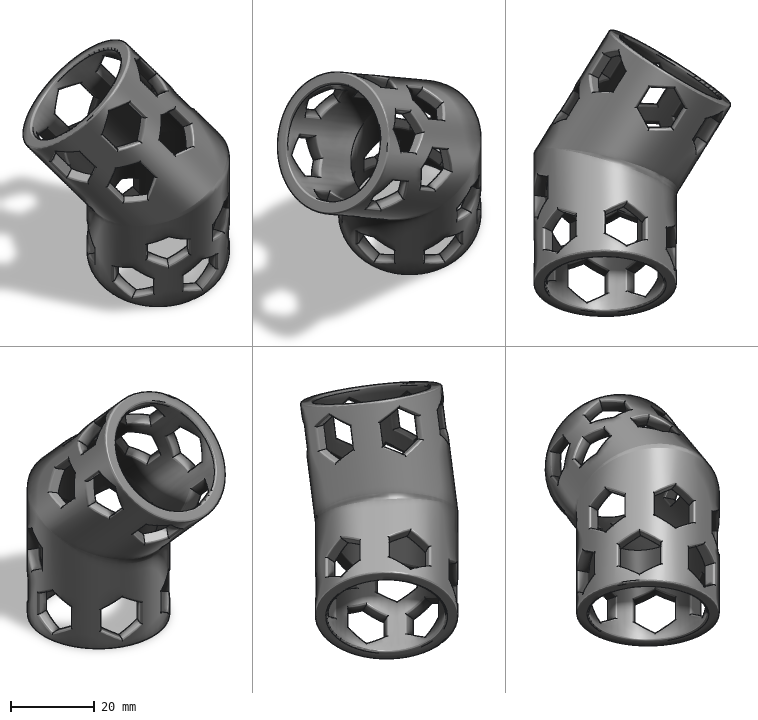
import cadquery as cq
import math

outer_diameter = 34.2
bore_diameter = 28.2
overall_height = 63.1
bend_angle = 45.0
end_round = 0.5
rim_round = 0.5
seam_round = 2.0

hex_across_flats = 10.0
end_row_height = 8.0
lower_bend_row_height = 21.1
upper_bend_row_height = 20.05
hole_pitch = 60.0
end_row_angles = [hole_pitch * (i + 0.5) for i in range(6)]
bend_row_angles = [-hole_pitch, 0.0, hole_pitch]

outer_radius = outer_diameter / 2
bore_radius = bore_diameter / 2
hex_across_corners = hex_across_flats / math.cos(math.radians(30))
tilt = math.radians(bend_angle)
top_rise = (outer_radius - end_round) * math.sin(tilt) - end_round * math.cos(tilt) + end_round
leg_length = (overall_height - top_rise) / (1 + math.cos(tilt))
ample = 4 * leg_length
tolerance = 0.005

half_bend = math.radians(bend_angle / 2)
bend_centre = cq.Vector(0, 0, leg_length)
miter_normal = cq.Vector(-math.sin(half_bend), 0, math.cos(half_bend))
miter_slope = cq.Vector(math.cos(half_bend), 0, math.sin(half_bend))


def half_space(origin, normal):
    """Large block filling the side of a plane that its normal points to."""
    plane = cq.Plane(origin=origin, xDir=(0, 1, 0), normal=normal)
    return cq.Workplane(plane).rect(ample, ample).extrude(ample)


def mirrored(shape):
    """Mirror image of a shape across the miter plane."""
    return shape.mirror(miter_normal, bend_centre.toTuple())


def rod(radius):
    """Vertical cylinder running past the bend, its surface seam on the -X side."""
    return cq.Workplane("XY").circle(radius).extrude(2 * leg_length).rotate((0, 0, 0), (0, 0, 1), 180)


def hex_cutter(angle, height):
    """Hexagonal prism from the leg axis outward through one wall."""
    prism = cq.Workplane("YZ").polygon(6, hex_across_corners).extrude(outer_diameter)
    upright = prism.rotate((0, 0, 0), (1, 0, 0), 90)
    return upright.translate((0, 0, height)).rotate((0, 0, 0), (0, 0, 1), angle)


def is_rim(edge):
    """True for hole edges that stay on one wall surface, so not for radial corners."""
    start = edge.startPoint()
    end = edge.endPoint()
    same_radius = math.isclose(math.hypot(start.x, start.y), math.hypot(end.x, end.y), abs_tol=tolerance)
    return same_radius and edge.Length() < hex_across_corners


def perforated_leg(bend_row_height):
    """Vertical leg with holes and rounded edges, ending at the miter plane."""
    tube = rod(outer_radius).cut(rod(bore_radius))
    tube = tube.faces("<Z").edges().fillet(end_round)
    for angle in end_row_angles:
        tube = tube.cut(hex_cutter(angle, end_row_height))
    for angle in bend_row_angles:
        tube = tube.cut(hex_cutter(angle, bend_row_height))
    rims = [edge for edge in tube.edges().vals() if is_rim(edge)]
    tube = tube.newObject(rims).fillet(rim_round)
    return tube.cut(half_space(bend_centre, miter_normal))


def is_outside_seam(edge):
    """True for edges in the miter plane that reach the full outer width of the legs."""
    samples = [edge.positionAt(i / 4) for i in range(5)]
    in_plane = all(abs((point - bend_centre).dot(miter_normal)) < tolerance for point in samples)
    reach = max(abs(edge.startPoint().y), abs(edge.endPoint().y))
    return in_plane and math.isclose(reach, outer_radius, abs_tol=tolerance)


def rounded_half(elbow, direction):
    """The inner or outer half of the bend with its outside seam rounded.

    The seam flattens out where the two halves meet, so each is rounded on its own.
    """
    half = elbow.intersect(half_space(bend_centre, direction))
    seam = [edge for edge in half.edges().vals() if is_outside_seam(edge)]
    return half.newObject(seam).fillet(seam_round)


lower_leg = perforated_leg(lower_bend_row_height)
upper_leg = mirrored(perforated_leg(upper_bend_row_height))
elbow_body = lower_leg.union(upper_leg)
result = rounded_half(elbow_body, miter_slope).union(rounded_half(elbow_body, -miter_slope))